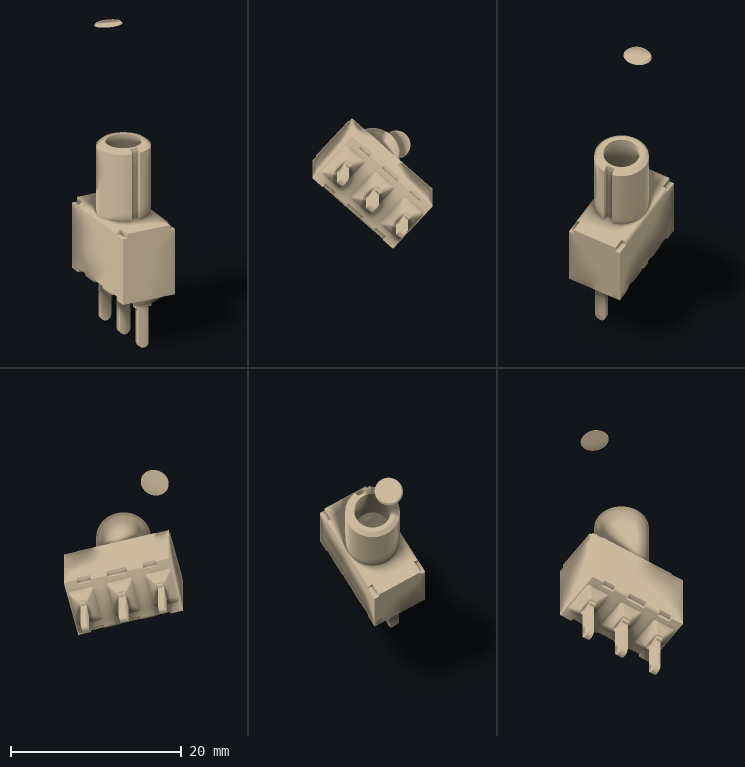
import cadquery as cq
import math


length = 12.7
depth = 6.85
height = 8.9
sheet = 0.57
bend_radius = 0.6
flap_width = 9.6
flap_bottom = 0.5
finger_width = 1.9
finger_offset = 2.2
finger_bend = 0.4

bushing_diameter = 6.4
bushing_height = 8.9
bore_diameter = 4.3
bushing_chamfer_width = 0.5
bushing_chamfer_height = 0.42
keyway_width = 1.05
keyway_floor = 2.5

tilt = 11.0
dome_radius = bore_diameter / 2
pivot_z = 11.8
dimple_rim_radius = 1.15
tip_diameter = 3.35
tip_face_diameter = 2.95
tip_thickness = 0.23

pin_pitch = 4.68
pin_bottom = -6.6
outer_pin_thickness = 0.73
middle_pin_thickness = 0.9
pin_width = 1.35
shoulder_width = 2.05
shoulder_height = 0.45
boss_height = 1.0
boss_top_x = 3.05
boss_top_y = 4.4
boss_end_margin = 0.2
boss_corner_radius = 0.3
boss_edge_fillet = 0.25

total_height = 38.33
tip_top = pin_bottom + total_height
pin_places = [-pin_pitch, 0, pin_pitch]
cover_underside = height - sheet
bushing_top = height + bushing_height
core_depth = depth - 2 * sheet


def box(size_x, size_y, z_low, z_high):
    """Box centred on the Z axis between two heights."""
    return cq.Workplane("XY").workplane(offset=z_low).rect(size_x, size_y).extrude(z_high - z_low)


def cylinder(diameter, z_low, z_high):
    """Cylinder on the Z axis between two heights."""
    return cq.Workplane("XY").workplane(offset=z_low).circle(diameter / 2).extrude(z_high - z_low)


def on_lever_axis(shape, distance):
    """Move a shape built at the origin to a distance from the pivot along the tilted lever axis."""
    tilted = shape.translate((0, 0, distance)).rotate((0, 0, 0), (0, 1, 0), -tilt)
    return tilted.translate((0, 0, pivot_z))


def make_cover():
    """Folded sheet with front and back flaps and a hole for the pivot post."""
    shell = box(flap_width, depth, 0, height).edges("|X and >Z").fillet(bend_radius)
    shell = shell.cut(box(flap_width, core_depth, 0, cover_underside))
    shell = shell.cut(box(flap_width, depth, 0, flap_bottom))

    for x in (-finger_offset, finger_offset):
        finger = box(finger_width, depth, 0, flap_bottom).edges("|X and <Z").fillet(finger_bend)
        finger = finger.cut(box(finger_width, core_depth, 0, flap_bottom))
        shell = shell.union(finger.translate((x, 0, 0)))

    cover = shell.union(box(length, depth - 2 * bend_radius, cover_underside, height))
    return cover.cut(cylinder(bore_diameter, cover_underside, height))


def make_bushing():
    """Chamfered tube with a keyway on its +X side, standing on the flat top of the cover."""
    radius = bushing_diameter / 2
    bushing = cq.Workplane("XY").workplane(offset=height).circle(radius).extrude(bushing_height)
    bushing = bushing.faces(">Z").chamfer(bushing_chamfer_height, bushing_chamfer_width)
    bushing = bushing.cut(cylinder(bore_diameter, height, bushing_top))
    keyway = box(radius, keyway_width, height, bushing_top)
    return bushing.cut(keyway.translate((keyway_floor + radius / 2, 0, 0)))


def make_case():
    """Block with full-depth ends beside the flaps, a pivot post on top and terminal bosses below."""
    case = box(length, core_depth, 0, cover_underside)
    ends = box(length, depth, 0, cover_underside).cut(box(flap_width, depth, 0, cover_underside))
    case = case.union(ends).union(make_pivot_post())
    for x in pin_places:
        case = case.union(make_boss(pin_thickness(x)).translate((x, 0, 0)))
    return case


def make_pivot_post():
    """Post that fills the lower bore and ends in a dome, dimpled on the lever axis."""
    post = cylinder(bore_diameter, cover_underside, pivot_z)
    sphere = cq.Workplane("XY").sphere(dome_radius)
    rim_distance = math.sqrt(dome_radius**2 - dimple_rim_radius**2)
    post = post.union(on_lever_axis(sphere, 0))
    return post.cut(on_lever_axis(sphere, 2 * rim_distance))


def make_boss(thickness):
    """Block with rounded corners that tapers down to just beyond a terminal's shoulder."""
    end_x = thickness + 2 * boss_end_margin
    end_y = shoulder_width + 2 * boss_end_margin
    top = cq.Sketch().rect(boss_top_x, boss_top_y).vertices().fillet(boss_corner_radius)
    end = cq.Sketch().rect(end_x, end_y).vertices().fillet(boss_corner_radius)
    end = end.moved(cq.Location(cq.Vector(0, 0, -boss_height)))
    boss = cq.Workplane("XY").placeSketch(top, end).loft()
    return boss.faces("<Z").edges().fillet(boss_edge_fillet)


def pin_thickness(x):
    """The middle terminal is thicker than the outer two."""
    return middle_pin_thickness if x == 0 else outer_pin_thickness


def make_pin(x):
    """Flat terminal with a wider shoulder at the top and a fully rounded tip."""
    thickness = pin_thickness(x)
    shoulder_bottom = -boss_height - shoulder_height
    shoulder = box(thickness, shoulder_width, shoulder_bottom, -boss_height)
    blade = box(thickness, pin_width, pin_bottom + pin_width / 2, -boss_height)
    tip = cq.Workplane("YZ").workplane(offset=-thickness / 2).center(0, pin_bottom + pin_width / 2)
    tip = tip.circle(pin_width / 2).extrude(thickness)
    return shoulder.union(blade).union(tip).translate((x, 0, 0))


def make_tip():
    """Thin conical disc square to the lever axis, its highest point at the top of the part."""
    lean = math.radians(tilt)
    face_centre = tip_top - tip_face_diameter / 2 * math.sin(lean) - pivot_z
    disc = cq.Workplane("XY").workplane(offset=-tip_thickness).circle(tip_diameter / 2)
    disc = disc.workplane(offset=tip_thickness).circle(tip_face_diameter / 2).loft()
    return on_lever_axis(disc, face_centre / math.cos(lean))


case = make_case()
cover = make_cover()
bushing = make_bushing()
tip = make_tip()
pins = [make_pin(x).val() for x in pin_places]

result = cq.Compound.makeCompound([case.val(), cover.val(), bushing.val(), tip.val(), *pins])